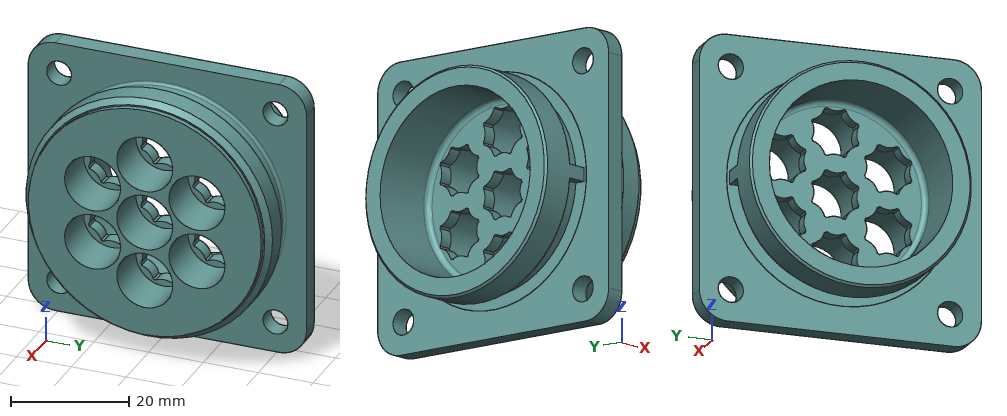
import cadquery as cq
import math


COLLAR_END = 6.8
FLANGE_FRONT = 10.0
FLANGE_BACK = 13.5
RING_FRONT = 16.5
RING_BACK = 22.5
TOTAL_LENGTH = 23.5

COLLAR_D = 40.0
RIM_CHAMFER = 0.4
COLLAR_BACK_CHAMFER = 0.5
NECK_D = 36.5
KEY_WIDTH = 2.4
SOCKET_D = 33.0
SOCKET_DEPTH = 12.5
SOCKET_FLOOR_FILLET = 1.0

FLANGE_SIZE = 50.8
FLANGE_CORNER_R = 5.0
MOUNT_HOLE_D = 4.5
MOUNT_HOLE_PITCH = 39.5

GAP_INNER_D = 41.0
GAP_OUTER_D = 41.1
GAP_DEPTH = FLANGE_BACK - FLANGE_FRONT

BODY_D = 42.5
BODY_ROOT_FILLET = 0.5
RING_D = 45.0
RING_CHAMFER = 1.0

CAVITY_CIRCLE_R = 11.0
CAVITIES_ON_CIRCLE = 6
CAVITY_BORE_D = 10.2
TOOTH_COUNT = 8
TOOTH_TIP_R = 3.85
TOOTH_ROOT_R = 4.5
TOOTH_NOSE_R = 3.2
TOOTH_LENGTH = 2.5


def disc(diameter, start, end):
    """Cylinder on the X axis between two stations."""
    return cq.Workplane("YZ", origin=(start, 0, 0)).circle(diameter / 2).extrude(end - start)


def make_flange():
    thickness = FLANGE_BACK - FLANGE_FRONT
    plate = (
        cq.Workplane("YZ", origin=(FLANGE_FRONT, 0, 0))
        .rect(FLANGE_SIZE, FLANGE_SIZE)
        .extrude(thickness)
        .edges("|X")
        .fillet(FLANGE_CORNER_R)
    )
    holes = (
        cq.Workplane("YZ", origin=(FLANGE_FRONT, 0, 0))
        .rect(MOUNT_HOLE_PITCH, MOUNT_HOLE_PITCH, forConstruction=True)
        .vertices()
        .circle(MOUNT_HOLE_D / 2)
        .extrude(thickness)
    )
    return plate.cut(holes)


def make_front():
    """Chamfered collar, narrower neck and the two side keys bridging the neck."""
    collar = disc(COLLAR_D, 0, COLLAR_END).faces(">X").edges().chamfer(COLLAR_BACK_CHAMFER)
    collar = collar.faces("<X").edges().chamfer(RIM_CHAMFER)
    neck = disc(NECK_D, COLLAR_END, FLANGE_FRONT)
    key_start = COLLAR_END - COLLAR_BACK_CHAMFER
    key_length = FLANGE_FRONT - key_start
    key_bar = (
        cq.Workplane("YZ", origin=(key_start, 0, 0))
        .rect(COLLAR_D, KEY_WIDTH)
        .extrude(key_length)
    )
    keys = key_bar.intersect(disc(COLLAR_D, key_start, FLANGE_FRONT))
    return collar.union(neck).union(keys)


def make_rear():
    """Body with a concave fillet against the flange, and the raised chamfered ring."""
    body_r = BODY_D / 2
    root_r = body_r + BODY_ROOT_FILLET
    fillet_end = FLANGE_BACK + BODY_ROOT_FILLET
    mid_offset = BODY_ROOT_FILLET * (1 - math.sqrt(0.5))
    body = (
        cq.Workplane("XY")
        .moveTo(FLANGE_FRONT, 0)
        .lineTo(FLANGE_FRONT, body_r)
        .lineTo(FLANGE_BACK, body_r)
        .lineTo(FLANGE_BACK, root_r)
        .threePointArc((FLANGE_BACK + mid_offset, body_r + mid_offset), (fillet_end, body_r))
        .lineTo(TOTAL_LENGTH, body_r)
        .lineTo(TOTAL_LENGTH, 0)
        .close()
        .revolve(360, (0, 0, 0), (1, 0, 0))
    )
    ring = disc(RING_D, RING_FRONT, RING_BACK).edges().chamfer(RING_CHAMFER)
    return body.union(ring)


def make_socket():
    return disc(SOCKET_D, 0, SOCKET_DEPTH).edges(">X").fillet(SOCKET_FLOOR_FILLET)


def make_ring_gap():
    gap_end = FLANGE_FRONT + GAP_DEPTH
    return disc(GAP_OUTER_D, FLANGE_FRONT, gap_end).cut(disc(GAP_INNER_D, FLANGE_FRONT, gap_end))


def make_cavity():
    """Cutting body for one contact cavity; it starts where the socket floor fillet begins."""
    tooth_start = SOCKET_DEPTH - SOCKET_FLOOR_FILLET
    tooth_end = SOCKET_DEPTH + TOOTH_LENGTH
    opening = disc(2 * TOOTH_ROOT_R, tooth_start, tooth_end)
    teeth = (
        cq.Workplane("YZ", origin=(tooth_start, 0, 0))
        .polarArray(TOOTH_TIP_R + TOOTH_NOSE_R, 0, 360, TOOTH_COUNT)
        .circle(TOOTH_NOSE_R)
        .extrude(tooth_end - tooth_start)
    )
    bore = disc(CAVITY_BORE_D, tooth_end, TOTAL_LENGTH)
    return opening.cut(teeth).union(bore)


def cavity_centres():
    centres = [(0, 0)]
    for index in range(CAVITIES_ON_CIRCLE):
        angle = math.pi / 2 + index * 2 * math.pi / CAVITIES_ON_CIRCLE
        centres.append((CAVITY_CIRCLE_R * math.cos(angle), CAVITY_CIRCLE_R * math.sin(angle)))
    return centres


result = make_flange().union(make_front()).union(make_rear())
result = result.cut(make_socket()).cut(make_ring_gap())
cavity = make_cavity()
for y, z in cavity_centres():
    result = result.cut(cavity.translate((0, y, z)))